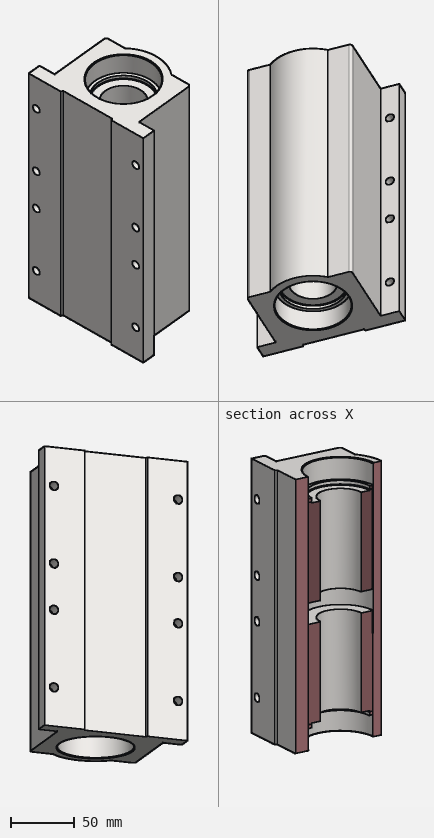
import cadquery as cq

LENGTH = 228.5
FLANGE_WIDTH = 120.7
FLANGE_THICKNESS = 12.8
BODY_WIDTH = 89.0
SHOULDER_HEIGHT = 73.5
SHOULDER_FILLET = 2.3
BORE_HEIGHT = 44.3
DOME_RADIUS = 38.2
BORE_CHAMFER = 0.7

RELIEF_WIDTH = 51.7
RELIEF_DEPTH = 1.8
RELIEF_SLOPE = 0.7

BEARING_DIAMETER = 60.4
BEARING_BORE = 38.2
BEARING_LENGTH = 84.1
BEARING_SPACING = 101.5
RECESS_DEPTH = 1.0

HOLE_DIAMETER = 7.0
HOLE_SPACING = 104.7
HOLE_PITCH = 63.5

RING_BORE = 54.0
RING_THICKNESS = 3.0
RING_GAP_ANGLE = 54.5
RING_GAP_WIDTH = 0.11

NOTCH_DEPTH = 1.1
NOTCH_WIDTH = 2.7

END_SIGNS = (-1, 1)
bearing_outer_end = (BEARING_SPACING + BEARING_LENGTH) / 2
mounting_face = -BORE_HEIGHT
flange_top = mounting_face + FLANGE_THICKNESS


def plane_at(z):
    """Workplane normal to the bore axis at the given Z."""
    return cq.Workplane("XY").workplane(offset=z)


def cylinder(diameter, bottom, height):
    """Solid cylinder on the bore axis, starting at the given Z."""
    return plane_at(bottom).circle(diameter / 2).extrude(height)


def housing_block():
    """Flanged block with a domed back and a relieved mounting face."""
    half_flange = FLANGE_WIDTH / 2
    half_body = BODY_WIDTH / 2
    half_relief = RELIEF_WIDTH / 2
    relief_floor = mounting_face + RELIEF_DEPTH
    shoulder = mounting_face + SHOULDER_HEIGHT
    fillet_start = shoulder - SHOULDER_FILLET
    fillet_end = half_body - SHOULDER_FILLET
    half_dome = (DOME_RADIUS**2 - shoulder**2) ** 0.5
    return (
        plane_at(-LENGTH / 2)
        .moveTo(-half_flange, mounting_face)
        .lineTo(-half_relief - RELIEF_SLOPE, mounting_face)
        .lineTo(-half_relief, relief_floor)
        .lineTo(half_relief, relief_floor)
        .lineTo(half_relief + RELIEF_SLOPE, mounting_face)
        .lineTo(half_flange, mounting_face)
        .lineTo(half_flange, flange_top)
        .lineTo(half_body, flange_top)
        .lineTo(half_body, fillet_start)
        .radiusArc((fillet_end, shoulder), -SHOULDER_FILLET)
        .lineTo(half_dome, shoulder)
        .threePointArc((0, DOME_RADIUS), (-half_dome, shoulder))
        .lineTo(-fillet_end, shoulder)
        .radiusArc((-half_body, fillet_start), -SHOULDER_FILLET)
        .lineTo(-half_body, flange_top)
        .lineTo(-half_flange, flange_top)
        .close()
        .extrude(LENGTH)
    )


def bore_mouth_cone(end):
    """Cutter that chamfers the mouth of the bore at one end of the housing."""
    bore_radius = BEARING_DIAMETER / 2
    cone = cq.Solid.makeCone(
        bore_radius + BORE_CHAMFER,
        bore_radius,
        BORE_CHAMFER,
        cq.Vector(0, 0, end * LENGTH / 2),
        cq.Vector(0, 0, -end),
    )
    return cq.Workplane(cone)


def mounting_holes():
    """Cutters for all the holes through the two flanges."""
    points = [
        (side * HOLE_SPACING / 2, (end * BEARING_SPACING + step * HOLE_PITCH) / 2)
        for side in END_SIGNS
        for end in END_SIGNS
        for step in END_SIGNS
    ]
    return (
        cq.Workplane("XZ", origin=(0, flange_top, 0))
        .pushPoints(points)
        .circle(HOLE_DIAMETER / 2)
        .extrude(FLANGE_THICKNESS)
    )


def make_housing():
    """Block with the through bore, its chamfered mouths and the mounting holes."""
    housing = housing_block().cut(cylinder(BEARING_DIAMETER, -LENGTH / 2, LENGTH))
    for end in END_SIGNS:
        housing = housing.cut(bore_mouth_cone(end))
    return housing.cut(mounting_holes())


def make_bearing(end):
    """Sleeve with a shallow recess in the face towards the housing end."""
    bottom = (end * BEARING_SPACING - BEARING_LENGTH) / 2
    recess_bottom = bearing_outer_end - RECESS_DEPTH if end > 0 else -bearing_outer_end
    return (
        cylinder(BEARING_DIAMETER, bottom, BEARING_LENGTH)
        .cut(cylinder(BEARING_BORE, bottom, BEARING_LENGTH))
        .cut(cylinder(RING_BORE, recess_bottom, RECESS_DEPTH))
    )


def make_ring(end):
    """Split retaining ring with a removal notch beside the split."""
    bottom = bearing_outer_end if end > 0 else -bearing_outer_end - RING_THICKNESS
    rim = BEARING_DIAMETER / 2
    gap = plane_at(bottom).center(rim, 0).rect(BEARING_DIAMETER, RING_GAP_WIDTH)
    notch = plane_at(bottom).center(rim, NOTCH_WIDTH / 2).rect(2 * NOTCH_DEPTH, NOTCH_WIDTH)
    return (
        cylinder(BEARING_DIAMETER, bottom, RING_THICKNESS)
        .cut(cylinder(RING_BORE, bottom, RING_THICKNESS))
        .cut(gap.extrude(RING_THICKNESS))
        .cut(notch.extrude(RING_THICKNESS))
        .rotate((0, 0, 0), (0, 0, 1), RING_GAP_ANGLE)
    )


housing = make_housing()
bearings = [make_bearing(end).val() for end in END_SIGNS]
rings = [make_ring(end).val() for end in END_SIGNS]

result = cq.Compound.makeCompound([housing.val(), *bearings, *rings])